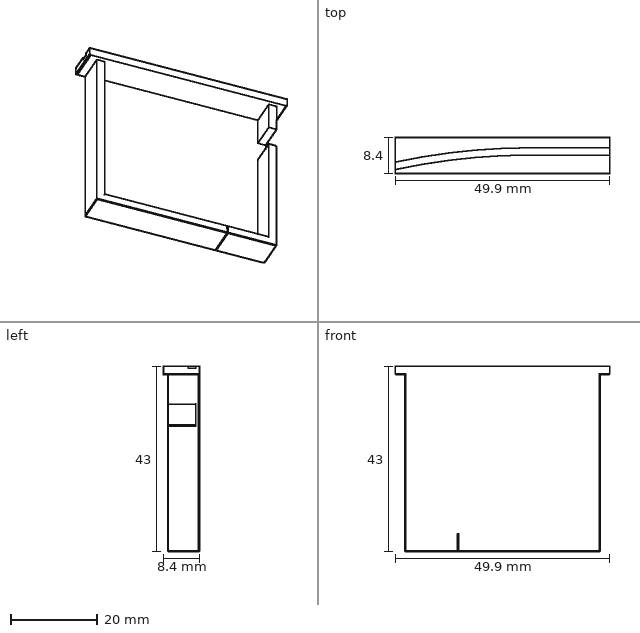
import cadquery as cq
import math

flange_width = 49.85
total_depth = 8.4
total_height = 43.05

body_width = 45.35
body_depth = 7.35
front_plate = 0.85
wall = 2.0
body_chamfer_depth = 0.3
body_chamfer_side = 0.15
bottom_chamfer = 0.15

flange_height = 2.05
flange_chamfer = 0.3

groove_depth = 0.45
groove_width = 1.7
groove_back = 6.0
groove_drop = 3.35
arc_end_x = 6.5

window_top = 8.8
window_height = 5.2
window_chamfer = 0.35

slit_x = -10.3
slit_width = 0.25
slit_height = 4.1

overcut = 0.5
half_width = flange_width / 2
half_body = body_width / 2
flange_bottom = total_height - flange_height


def box(x0, x1, y0, y1, z0, z1):
    return cq.Workplane("XY").box(x1 - x0, y1 - y0, z1 - z0, centered=False).translate((x0, y0, z0))


def make_body():
    """Tray with bevelled front side edges and bottom edges, reaching up to the top."""
    outline = [
        (-half_body, body_depth),
        (-half_body, body_chamfer_depth),
        (-half_body + body_chamfer_side, 0),
        (half_body - body_chamfer_side, 0),
        (half_body, body_chamfer_depth),
        (half_body, body_depth),
    ]
    block = cq.Workplane("XY").polyline(outline).close().extrude(total_height)
    block = block.faces("<Z").chamfer(bottom_chamfer)
    cavity = box(
        -half_body + wall, half_body - wall,
        front_plate, body_depth + overcut,
        wall, flange_bottom,
    )
    return block.cut(cavity)


def make_flange():
    """Top plate, bevelled underneath at the front and at both ends."""
    plate = box(-half_width, half_width, 0, total_depth, flange_bottom, total_height)
    return plate.faces("<Z").edges("<Y or <X or >X").chamfer(flange_chamfer)


def make_groove():
    """Constant-width band: an arc from the left end running tangent into a straight."""
    arc_span = arc_end_x + half_width
    back_radius = (arc_span ** 2 + groove_drop ** 2) / (2 * groove_drop)
    front_radius = back_radius - groove_width
    center_y = groove_back - back_radius
    start_angle = math.asin((arc_span + overcut) / front_radius)

    def arc_point(radius, angle):
        return (arc_end_x - radius * math.sin(angle), center_y + radius * math.cos(angle))

    groove_front = groove_back - groove_width
    right_end = half_width + overcut
    return (
        cq.Workplane("XY", origin=(0, 0, total_height - groove_depth))
        .moveTo(right_end, groove_back)
        .lineTo(arc_end_x, groove_back)
        .threePointArc(arc_point(back_radius, start_angle / 2), arc_point(back_radius, start_angle))
        .lineTo(*arc_point(front_radius, start_angle))
        .threePointArc(arc_point(front_radius, start_angle / 2), (arc_end_x, groove_front))
        .lineTo(right_end, groove_front)
        .close()
        .extrude(groove_depth + overcut)
    )


def make_window():
    """Opening through the left wall, with its sill bevelled on the outside."""
    top = total_height - window_top
    sill_outer = top - window_height
    sill = sill_outer + window_chamfer
    inner_x = -half_body + wall + overcut
    profile = [
        (-half_body, top),
        (-half_body, sill_outer),
        (-half_body + window_chamfer, sill),
        (inner_x, sill),
        (inner_x, top),
    ]
    length = body_depth + overcut - front_plate
    return (
        cq.Workplane("XZ", origin=(0, front_plate, 0))
        .polyline(profile).close()
        .extrude(-length)
    )


def make_slit():
    return box(
        slit_x - slit_width / 2, slit_x + slit_width / 2,
        -overcut, body_depth + overcut,
        -overcut, slit_height,
    )


result = (
    make_body()
    .union(make_flange())
    .cut(make_groove())
    .cut(make_window())
    .cut(make_slit())
)